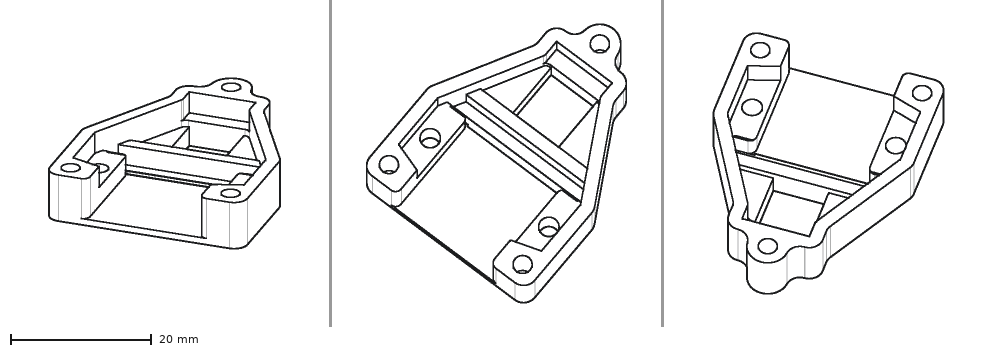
import cadquery as cq
import math

width = 29.95
length = 38.77
height = 7.3

floor_top = 1.0
side_floor_top = 3.0
bar_top = 4.0
pad_top = bar_top

half_width = width / 2
corner_radius = 2.0
shoulder_half_width = 7.05
shoulder_y = 34.27
lower_bend_y = 15.6
upper_bend_y = 30.05
boss_radius = 3.0
boss_y = length - boss_radius

wall = 2.0
inner_half_width = half_width - wall
inner_bend_y = 15.05
shelf_half_width = shoulder_half_width - wall
shelf_back_y = shoulder_y - wall
shelf_front_y = 29.85
inner_upper_bend_y = 29.6
small_radius = 1.0

bar_front_y = 18.9
bar_back_y = 20.85
window_half_width = 4.15
groove_front_y = 16.1
groove_back_y = 17.15
groove_half_width = 11.5
groove_depth = 0.08

pad_inner_x = 8.5
pad_back_y = 16.32
post_inner_y = 4.65
post_outer_y = 6.1

screw_diameter = 2.7
screw_x = 12.15
screw_y = 2.83
pin_diameter = 2.9
pin_x = 10.78
pin_y = 10.55


def box(half_x, y_front, y_back, z_low, z_high):
    """Block centred on X between the given Y and Z limits."""
    return cq.Workplane("XY").box(
        2 * half_x, y_back - y_front, z_high - z_low, centered=(True, False, False)
    ).translate((0, y_front, z_low))


def prism(right_points, z_low, z_high):
    """Prism whose outline is the right-hand points plus their mirror images."""
    left_points = [(-x, y) for x, y in reversed(right_points)]
    return (
        cq.Workplane("XY", origin=(0, 0, z_low))
        .polyline(right_points + left_points)
        .close()
        .extrude(z_high - z_low)
    )


def round_upright_edges(body, x, y, radius):
    """Round the mirrored pair of vertical edges at (+-x, y)."""
    tolerance = 0.05
    for side in (-1, 1):
        selector = cq.selectors.BoxSelector(
            (side * x - tolerance, y - tolerance, -height),
            (side * x + tolerance, y + tolerance, 2 * height),
        )
        body = body.edges("|Z").edges(selector).fillet(radius)
    return body


def make_outer_body():
    corners = [
        (half_width, 0),
        (half_width, lower_bend_y),
        (shoulder_half_width, upper_bend_y),
        (shoulder_half_width, shoulder_y),
    ]
    body = prism(corners, 0, height)
    for x, y in corners:
        body = round_upright_edges(body, x, y, corner_radius)
    return body.union(make_boss())


def make_boss():
    """Rounded lug blended into the shoulder by two tangent concave arcs."""
    blend_y = shoulder_y + corner_radius
    centre_distance = boss_radius + corner_radius
    rise = blend_y - boss_y
    blend_x = math.sqrt(centre_distance**2 - rise**2)
    tangent_x = blend_x * boss_radius / centre_distance
    tangent_y = boss_y + rise * boss_radius / centre_distance
    middle_angle = (math.atan2(rise, blend_x) - 1.5 * math.pi) / 2
    middle_x = blend_x + corner_radius * math.cos(middle_angle)
    middle_y = blend_y + corner_radius * math.sin(middle_angle)
    return (
        cq.Workplane("XY")
        .moveTo(blend_x, shoulder_y)
        .threePointArc((middle_x, middle_y), (tangent_x, tangent_y))
        .threePointArc((0, length), (-tangent_x, tangent_y))
        .threePointArc((-middle_x, middle_y), (-blend_x, shoulder_y))
        .lineTo(-blend_x, shelf_back_y)
        .lineTo(blend_x, shelf_back_y)
        .close()
        .extrude(height)
    )


def make_upper_pocket():
    """Open space above the pads, crossbar and back shelf, which share one level."""
    pocket = prism(
        [
            (pad_inner_x, post_inner_y),
            (inner_half_width, post_outer_y),
            (inner_half_width, inner_bend_y),
            (shelf_half_width, inner_upper_bend_y),
            (shelf_half_width, shelf_back_y),
        ],
        pad_top,
        height,
    )
    return round_upright_edges(pocket, shelf_half_width, inner_upper_bend_y, small_radius)


def wall_x(y):
    """Half width between the sloping inner walls at a given Y."""
    slope = (inner_half_width - shelf_half_width) / (inner_upper_bend_y - inner_bend_y)
    return inner_half_width - slope * (y - inner_bend_y)


def make_back_pocket():
    """Recess between the crossbar and the back shelf."""
    back_x = wall_x(shelf_front_y)
    pocket = prism(
        [(wall_x(bar_back_y), bar_back_y), (back_x, shelf_front_y)], side_floor_top, bar_top
    )
    return round_upright_edges(pocket, back_x, shelf_front_y, small_radius)


def make_front_pocket():
    """Channel between the pads, open at the front, widening ahead of the crossbar."""
    channel = box(pad_inner_x, 0, bar_front_y, floor_top, height)
    cross = prism(
        [(wall_x(pad_back_y), pad_back_y), (wall_x(bar_front_y), bar_front_y)], floor_top, bar_top
    )
    pocket = channel.union(cross)
    return round_upright_edges(pocket, pad_inner_x, pad_back_y, small_radius)


def make_front_edge_rounding():
    """Waste that rounds the front inner edges of the posts."""
    waste = box(pad_inner_x + small_radius, 0, small_radius, floor_top, height)
    for side in (-1, 1):
        rod = (
            cq.Workplane("XY")
            .center(side * (pad_inner_x + small_radius), small_radius)
            .circle(small_radius)
            .extrude(height)
        )
        waste = waste.cut(rod)
    return waste


def make_groove():
    """Shallow groove in the floor ahead of the crossbar, nicking the tops of the pad ends."""
    trench_bottom = floor_top - groove_depth
    nicks = box(groove_half_width, groove_front_y, pad_back_y, pad_top - groove_depth, pad_top)
    between_pads = box(pad_inner_x, groove_front_y, pad_back_y, trench_bottom, floor_top)
    behind_pads = box(groove_half_width, pad_back_y, groove_back_y, trench_bottom, floor_top)
    return nicks.union(between_pads).union(behind_pads)


def make_holes(points, diameter):
    return cq.Workplane("XY").pushPoints(points).circle(diameter / 2).extrude(height)


screw_points = [(-screw_x, screw_y), (screw_x, screw_y), (0, boss_y)]
screw_holes = make_holes(screw_points, screw_diameter).translate((0, 0, floor_top))

result = (
    make_outer_body()
    .cut(make_upper_pocket())
    .cut(make_back_pocket())
    .cut(make_front_pocket())
    .cut(make_front_edge_rounding())
    .cut(box(window_half_width, bar_back_y, shelf_front_y, 0, height))
    .cut(make_groove())
    .cut(make_holes([(-pin_x, pin_y), (pin_x, pin_y)], pin_diameter))
    .cut(screw_holes)
)